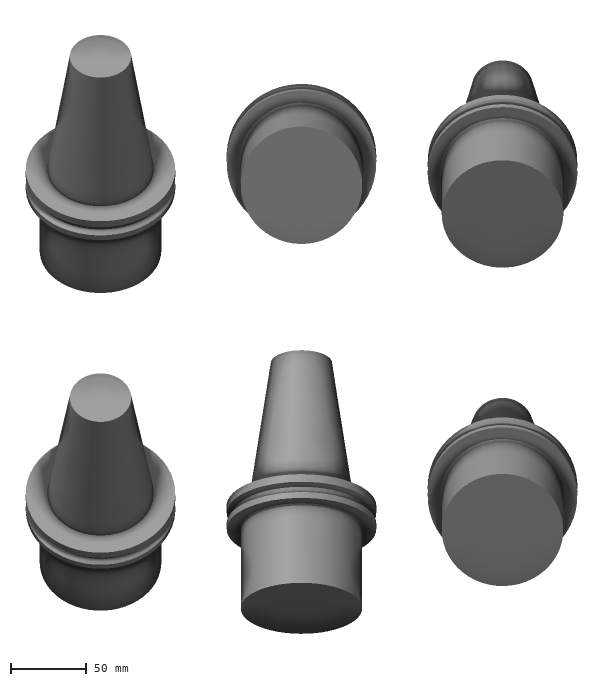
import cadquery as cq

total_height = 177.8

nose_radius = 80.0 / 2
flare_width = 1.0
nose_height = 56.2
flare_height = 1.0

flange_radius = 98.5 / 2
groove_radius = 91.2 / 2
flange_bottom = nose_height + flare_height
lower_rim_height = 4.3
groove_lower_slope = 2.0
groove_floor_height = 3.5
groove_upper_slope = 2.0
flange_height = 17.2

taper_large_radius = 69.9 / 2
taper_small_radius = 40.4 / 2
collar_height = 1.6

lower_rim_top = flange_bottom + lower_rim_height
groove_floor_bottom = lower_rim_top + groove_lower_slope
groove_floor_top = groove_floor_bottom + groove_floor_height
upper_rim_bottom = groove_floor_top + groove_upper_slope
flange_top = flange_bottom + flange_height
collar_top = flange_top + collar_height

profile = [
    (0, 0),
    (nose_radius, 0),
    (nose_radius, nose_height),
    (nose_radius + flare_width, flange_bottom),
    (flange_radius, flange_bottom),
    (flange_radius, lower_rim_top),
    (groove_radius, groove_floor_bottom),
    (groove_radius, groove_floor_top),
    (flange_radius, upper_rim_bottom),
    (flange_radius, flange_top),
    (taper_large_radius, flange_top),
    (taper_large_radius, collar_top),
    (taper_small_radius, total_height),
    (0, total_height),
]

result = cq.Workplane("XZ").polyline(profile).close().revolve(360, (0, 0), (0, 1))